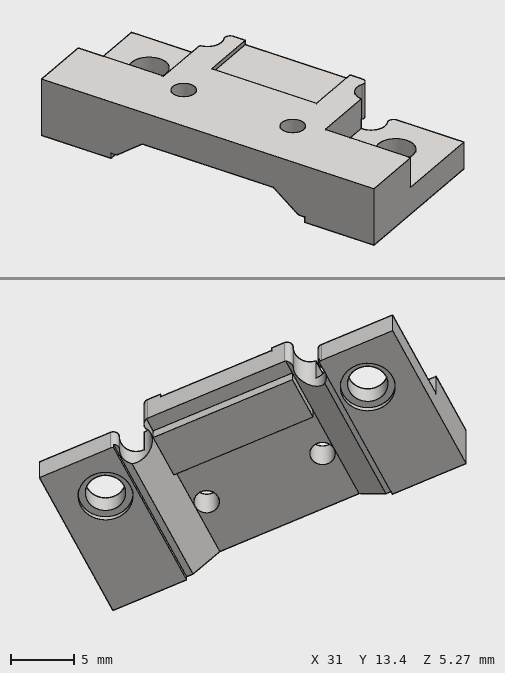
import cadquery as cq
import math

length = 31.0
width = 13.45
height = 5.27

shelf_z = 2.5
shelf_inner_x = 7.53
shelf_depth = 7.97

channel_half_width = 9.02
channel_step_z = 0.5
ramp_outer_x = 8.45
channel_top_half_width = 6.1
channel_top_z = 2.3

pocket_width = 9.75
pocket_length = 5.02
pocket_depth = 0.4
pad_bottom_z = 1.25
pad_setback = 1.25

mount_diameter = 3.2
mount_x = 11.5
mount_inset = 3.78
counterbore_diameter = 4.35
small_diameter = 2.0
small_x = 5.08
small_inset = 8.9

notch_x = 7.63
notch_radius = 1.3
notch_inset = 1.27
lip_radius = 0.5


def box(x_min, x_max, y_min, y_max, z_min, z_max):
    """Box between two opposite corners."""
    return cq.Workplane("XY").box(
        x_max - x_min, y_max - y_min, z_max - z_min, centered=False
    ).translate((x_min, y_min, z_min))


def profile_body():
    """Block with the stepped, sloping channel along Y."""
    right_side = [
        (channel_top_half_width, channel_top_z),
        (ramp_outer_x, channel_step_z),
        (channel_half_width, channel_step_z),
        (channel_half_width, 0),
        (length / 2, 0),
        (length / 2, height),
    ]
    left_side = [(-x, z) for x, z in reversed(right_side)]
    return cq.Workplane("XZ").polyline(right_side + left_side).close().extrude(width)


def notch(x_center):
    """Circular notch whose mouth widens through lip arcs tangent to the back face."""
    reach = notch_radius + lip_radius
    lip_drop = notch_inset - lip_radius
    lip_x = math.sqrt(reach**2 - lip_drop**2)
    join_x = lip_x * notch_radius / reach
    join_y = -notch_inset + lip_drop * notch_radius / reach

    to_notch = math.atan2(-lip_drop, -lip_x) % (2 * math.pi)
    middle_angle = (math.pi / 2 + to_notch) / 2
    middle_x = lip_x + lip_radius * math.cos(middle_angle)
    middle_y = -lip_radius + lip_radius * math.sin(middle_angle)

    return (
        cq.Workplane("XY")
        .moveTo(-lip_x, 0)
        .threePointArc((-middle_x, middle_y), (-join_x, join_y))
        .threePointArc((0, -notch_inset - notch_radius), (join_x, join_y))
        .threePointArc((middle_x, middle_y), (lip_x, 0))
        .close()
        .extrude(height)
        .translate((x_center, 0, 0))
    )


def hole_from_below(x, inset, diameter, depth=height):
    """Vertical hole rising from the underside, through the full height by default."""
    return cq.Workplane("XY").center(x, -inset).circle(diameter / 2).extrude(depth)


pad = box(
    -channel_top_half_width, channel_top_half_width,
    -pocket_length, -pad_setback,
    pad_bottom_z, height - pocket_depth,
)
pocket = box(
    -pocket_width / 2, pocket_width / 2,
    -pocket_length, 0,
    height - pocket_depth, height,
)
result = profile_body().union(pad).cut(pocket)

for side in (-1, 1):
    inner_x = side * shelf_inner_x
    outer_x = side * length / 2
    shelf_cut = box(
        min(inner_x, outer_x), max(inner_x, outer_x),
        -shelf_depth, 0,
        shelf_z, height,
    )
    result = result.cut(shelf_cut)
    result = result.cut(notch(side * notch_x))
    result = result.cut(hole_from_below(side * mount_x, mount_inset, mount_diameter))
    counterbore = hole_from_below(
        side * mount_x, mount_inset, counterbore_diameter, channel_step_z
    )
    result = result.cut(counterbore)
    result = result.cut(hole_from_below(side * small_x, small_inset, small_diameter))